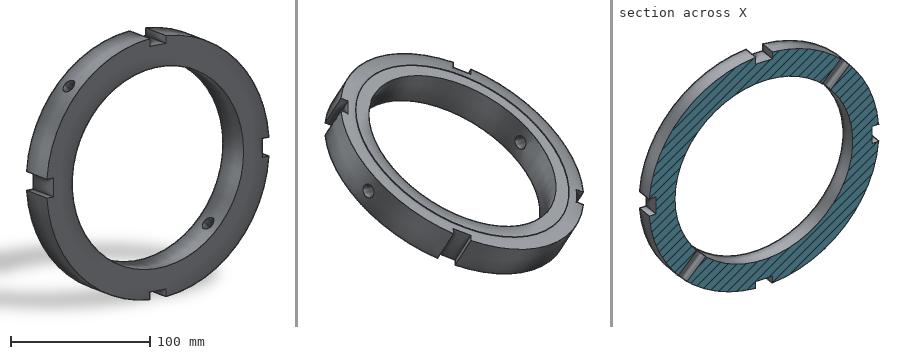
import cadquery as cq

outer_diameter = 195.0
bore_diameter = 150.0
face_diameter = 171.0
total_width = 26.0
face_height = 0.5
slot_width = 14.0
slot_floor_radius = 91.5
slot_count = 4
screw_hole_diameter = 10.11
screw_hole_angle = 45.0

body_width = total_width - face_height
back_x = total_width / 2
body_start_x = back_x - body_width
body_middle_x = body_start_x + body_width / 2


def cylinder_along_x(diameter, start_x, length):
    return cq.Workplane("YZ", origin=(start_x, 0, 0)).circle(diameter / 2).extrude(length)


def make_ring():
    body = cylinder_along_x(outer_diameter, body_start_x, body_width)
    face = cylinder_along_x(face_diameter, -back_x, total_width)
    bore = cylinder_along_x(bore_diameter, -back_x, total_width)
    return body.union(face).cut(bore)


def spanner_slot(angle):
    """Full-width slot cutter, turned about X from the +Z position."""
    slot_height = outer_diameter / 2 - slot_floor_radius
    slot = cq.Workplane("XY", origin=(body_middle_x, 0, slot_floor_radius)).box(
        body_width, slot_width, slot_height, centered=(True, True, False)
    )
    return slot.rotate((0, 0, 0), (1, 0, 0), angle)


def screw_hole_drill():
    """One drill line at half the total width through both walls of the ring, crossing the axis."""
    drill = cq.Workplane("XY", origin=(0, 0, -outer_diameter / 2))
    drill = drill.circle(screw_hole_diameter / 2).extrude(outer_diameter)
    return drill.rotate((0, 0, 0), (1, 0, 0), screw_hole_angle)


result = make_ring()
for index in range(slot_count):
    result = result.cut(spanner_slot(index * 360 / slot_count))
result = result.cut(screw_hole_drill())